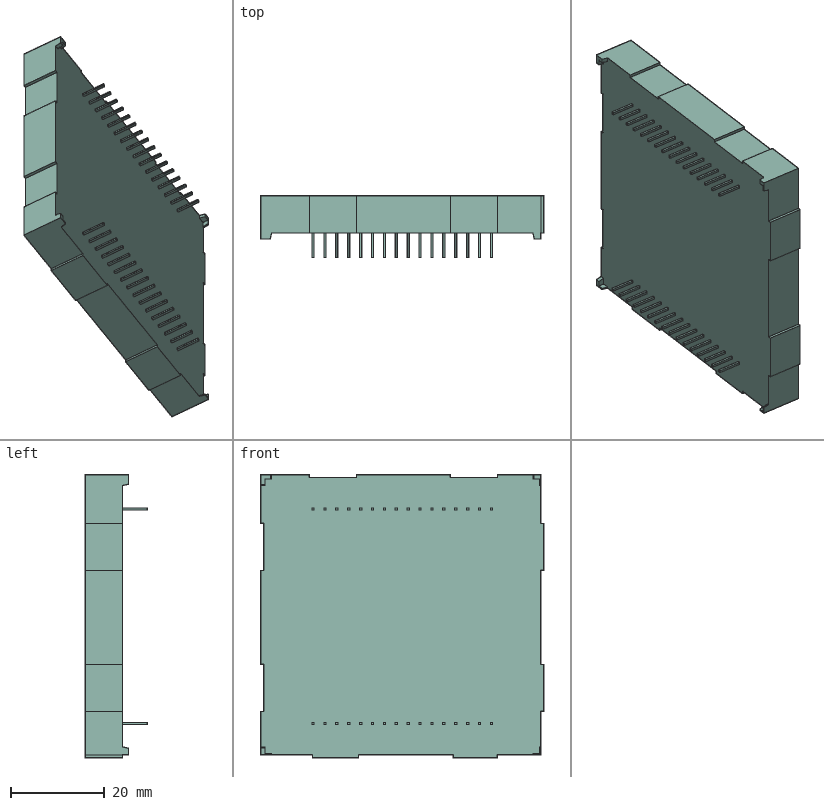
import cadquery as cq

envelope = 60.3
half = envelope / 2
step = 0.6
body_side = envelope - step
body_depth = 7.95
back_y = 0.0
front_y = back_y - body_depth

link_width = 10.0
link_centres = (-14.8, 15.25)
bottom_tab_spans = ((-19.1, -9.3), (10.85, 20.25))

foot_height = 1.25
foot_arm = 2.35
foot_arm_tip = 2.05
foot_wall = 0.9

pin_width = 0.5
pin_pitch = 2.55
pins_per_row = 16
row_spacing = 45.7
overall_depth = 13.2
pin_length = overall_depth - body_depth


def block(x0, x1, z0, z1, y_start, depth):
    """Box over the given X and Z ranges, running from y_start by depth toward -Y."""
    return cq.Workplane("XY").box(x1 - x0, depth, z1 - z0, centered=False).translate(
        (x0, y_start - depth, z0)
    )


def body():
    """Block with its notches and tabs."""
    right = -half + body_side
    bottom = half - body_side
    solid = block(-half, right, bottom, half, back_y, body_depth)
    for centre in link_centres:
        start = centre - link_width / 2
        end = centre + link_width / 2
        solid = solid.cut(block(start, end, half - step, half, back_y, body_depth))
        solid = solid.cut(block(-half, -half + step, -end, -start, back_y, body_depth))
        solid = solid.union(block(right - step, half, -end, -start, back_y, body_depth))
    for start, end in bottom_tab_spans:
        solid = solid.union(block(start, end, -half, bottom + step, back_y, body_depth))
    return solid


def foot():
    """L-shaped foot in the -X, +Z corner of the envelope."""
    profile = [(0, 0), (foot_arm, 0), (foot_arm_tip, -foot_height), (0, -foot_height)]
    arm_x = (
        cq.Workplane("XY")
        .polyline(profile)
        .close()
        .extrude(-foot_wall)
        .translate((-half, front_y, half))
    )
    arm_z = (
        cq.Workplane("ZY")
        .polyline([(-reach, y) for reach, y in profile])
        .close()
        .extrude(-foot_wall)
        .translate((-half, front_y, half))
    )
    return arm_x.union(arm_z)


def feet():
    """Four mirrored feet, trimmed to the outline of the plain block."""
    left_top = foot()
    top = left_top.union(left_top.mirror("YZ"))
    all_feet = top.union(top.mirror("XY"))
    outline = block(-half, -half + body_side, half - body_side, half, front_y, foot_height)
    return all_feet.intersect(outline)


def pins():
    """Two rows of pins, centred on the envelope."""
    return (
        cq.Workplane("XZ", origin=(0, front_y, 0))
        .rarray(pin_pitch, row_spacing, pins_per_row, 2)
        .rect(pin_width, pin_width)
        .extrude(pin_length)
    )


result = body().union(feet()).union(pins())